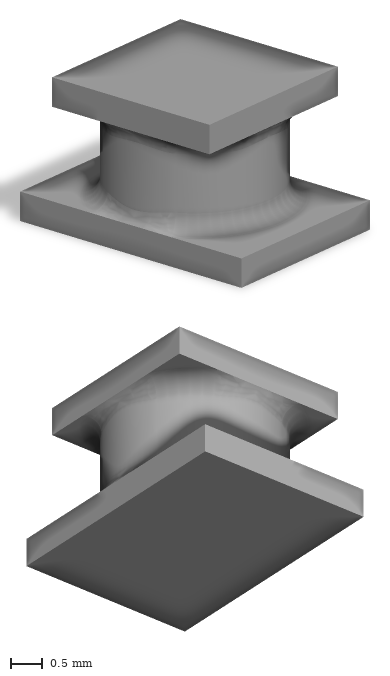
import cadquery as cq

base_length = 4.5
width = 3.2
total_height = 2.6
flange_thickness = 0.5
core_diameter = 3.0
fillet_radius = 0.3

core_height = total_height - 2 * flange_thickness
core_top = flange_thickness + core_height

base = cq.Workplane("XY").box(base_length, width, flange_thickness, centered=(True, True, False))
core = (
    cq.Workplane("XY", origin=(0, 0, flange_thickness))
    .circle(core_diameter / 2)
    .extrude(core_height)
)
top_flange = (
    cq.Workplane("XY", origin=(0, 0, core_top))
    .box(width, width, flange_thickness, centered=(True, True, False))
)
spool = base.union(core).union(top_flange)

result = spool.edges("%CIRCLE").fillet(fillet_radius)